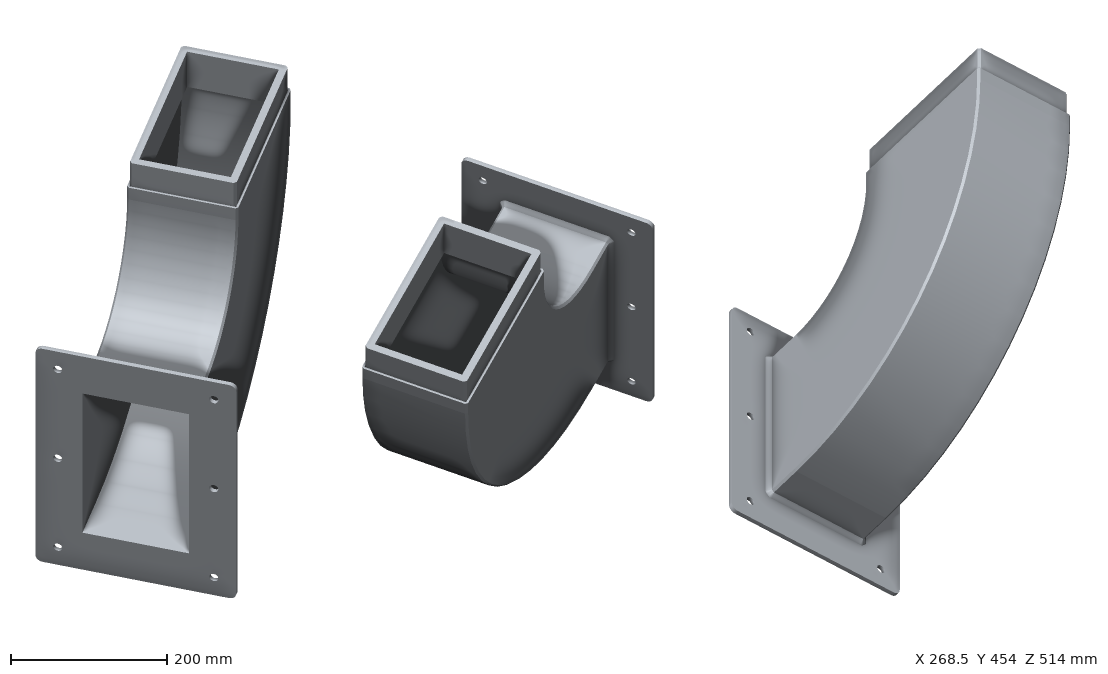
import cadquery as cq
import math

duct_width = 148.5
duct_height = 243.5
sheet = 3.0
corner_chamfer = sheet
throat_radius = 150.5
flange_straight = 60.0
socket_straight = 20.0

flange_margin = 60.0
flange_thickness = 6.0
flange_corner_radius = 10.0
bolt_diameter = 12.0
bolt_rows = 3
bolt_edge_distance = 30.0

collar_wall = 10.0
collar_exposed = 40.0
collar_chamfer = 3.5

weld_leg = 6.0
weld_angle = 45.0

flange_width = duct_width + 2 * flange_margin
flange_height = duct_height + 2 * flange_margin
bolt_spacing_x = flange_width - 2 * bolt_edge_distance
bolt_spacing_z = (flange_height - 2 * bolt_edge_distance) / (bolt_rows - 1)
duct_center_z = flange_height / 2
bend_y = flange_straight
bend_z = flange_margin + duct_height + throat_radius
socket_center_y = bend_y + throat_radius + duct_height / 2
socket_top = bend_z + socket_straight
inner_width = duct_width - 2 * sheet
inner_height = duct_height - 2 * sheet
cutter_span = 4 * socket_top


def flange_plane(y):
    """Plane facing -Y at the given depth, centred on the duct opening."""
    return cq.Workplane("XZ", origin=(0, y, duct_center_z))


def elbow_block(inset):
    """Solid elbow, smaller than the duct outside by inset on all four sides."""
    inner_radius = throat_radius + inset
    outer_radius = throat_radius + duct_height - inset
    inner_mid = inner_radius * math.sqrt(0.5)
    outer_mid = outer_radius * math.sqrt(0.5)
    return (
        cq.Workplane("YZ")
        .moveTo(0, bend_z - inner_radius)
        .lineTo(bend_y, bend_z - inner_radius)
        .threePointArc((bend_y + inner_mid, bend_z - inner_mid), (bend_y + inner_radius, bend_z))
        .lineTo(bend_y + inner_radius, socket_top)
        .lineTo(bend_y + outer_radius, socket_top)
        .lineTo(bend_y + outer_radius, bend_z)
        .threePointArc((bend_y + outer_mid, bend_z - outer_mid), (bend_y, bend_z - outer_radius))
        .lineTo(0, bend_z - outer_radius)
        .close()
        .extrude(duct_width / 2 - inset, both=True)
    )


def duct_outside():
    """Elbow with chamfered long edges; square-cornered inside the flange."""
    long_edges = elbow_block(0).faces("<X or >X").edges("not(<Y or >Z)")
    chamfered_elbow = long_edges.chamfer(corner_chamfer)
    square_end = flange_plane(flange_thickness).rect(duct_width, duct_height).extrude(flange_thickness)
    return chamfered_elbow.union(square_end)


def make_duct_shell():
    return duct_outside().cut(elbow_block(sheet))


def shell_slab(shell, width, center_x):
    """Part of the shell within a slab of the given width along X."""
    slab = cq.Workplane("XY").box(width, cutter_span, cutter_span).translate((center_x, 0, 0))
    return shell.intersect(slab)


def make_throat_plate(shell):
    """Inner curved plate, fitted between the side plates."""
    return shell_slab(shell, inner_width, 0).solids("<Y")


def make_heel_plate(shell):
    """Outer curved plate, fitted between the side plates."""
    return shell_slab(shell, inner_width, 0).solids(">Y")


def make_side_plate(shell, side):
    """Flat side plate; side is -1 or +1 along X."""
    return shell_slab(shell, sheet, side * (duct_width - sheet) / 2)


def make_flange():
    plate = (
        flange_plane(flange_thickness).rect(flange_width, flange_height).extrude(flange_thickness)
        .edges("|Y").fillet(flange_corner_radius)
    )
    opening = flange_plane(flange_thickness).rect(duct_width, duct_height).extrude(flange_thickness)
    bolt_holes = (
        flange_plane(flange_thickness).rarray(bolt_spacing_x, bolt_spacing_z, 2, bolt_rows)
        .circle(bolt_diameter / 2).extrude(flange_thickness)
    )
    return plate.cut(opening).cut(bolt_holes)


def make_collar():
    length = socket_straight + collar_exposed
    base = cq.Workplane("XY", origin=(0, socket_center_y, bend_z))
    block = base.rect(inner_width, inner_height).extrude(length).edges("|Z").chamfer(collar_chamfer)
    bore = base.rect(inner_width - 2 * collar_wall, inner_height - 2 * collar_wall).extrude(length)
    return block.cut(bore)


def make_weld():
    """Triangular bead that widens towards the flange, all round the duct."""
    duct_section = cq.Sketch().rect(duct_width, duct_height).vertices().chamfer(corner_chamfer)
    bead_start = flange_plane(flange_thickness + weld_leg).placeSketch(duct_section)
    bead = bead_start.extrude(weld_leg, taper=-weld_angle)
    return bead.cut(duct_outside())


duct_shell = make_duct_shell()
throat_plate = make_throat_plate(duct_shell)
heel_plate = make_heel_plate(duct_shell)
side_plates = [make_side_plate(duct_shell, side) for side in (-1, 1)]
flange = make_flange()
collar = make_collar()
weld = make_weld()

result = cq.Compound.makeCompound(
    [
        throat_plate.val(),
        heel_plate.val(),
        *[plate.solids().val() for plate in side_plates],
        flange.val(),
        collar.val(),
        weld.val(),
    ]
)